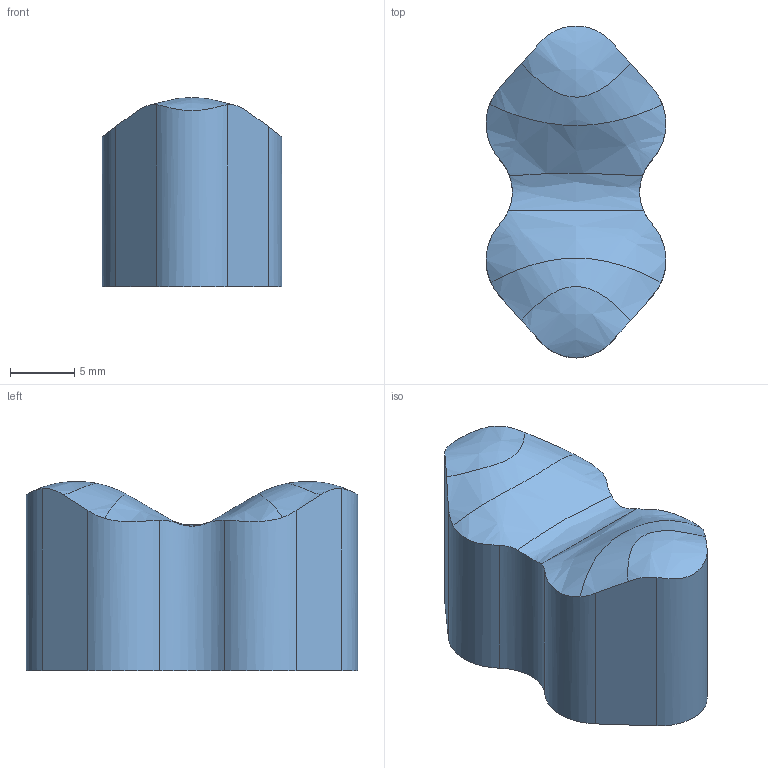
import cadquery as cq
import math

half_length = 12.93
half_width = 7.015
waist_half_width = 4.965
tip_radius = 3.7
side_radius = 4.2
side_centre_y = 5.32

crest_height = 14.75
crest_y = 9.0
crest_radius = 8.0
valley_radius = 3.0
flank_angle = math.radians(30)

max_curvature = 0.064
curvature_start_y = 1.35

dome_seam_middle_y = 7.38
dome_seam_bow = 0.143
flank_seam_middle_y = 5.17
flank_seam_bow_plus = 0.037
flank_seam_bow_minus = 0.044
valley_seam_middle_y = 1.46
valley_seam_bow_plus = -0.0075
valley_seam_bow_minus = 0.0

patch_half_x = 8.0
patch_half_y = 14.0
patch_steps_x = 16
patch_steps_y = 80
surface_tolerance = 0.004
seam_steps = 4
below_base = 2.0

side_centre_x = half_width - side_radius
tip_centre_y = half_length - tip_radius
waist_offset = waist_half_width - side_centre_x
waist_radius = (waist_offset**2 + side_centre_y**2 - side_radius**2) / (2 * (side_radius - waist_offset))
waist_centre_x = waist_half_width + waist_radius

crest_centre_z = crest_height - crest_radius
flank_top_y = crest_y - crest_radius * math.sin(flank_angle)
flank_top_z = crest_centre_z + crest_radius * math.cos(flank_angle)
flank_foot_y = valley_radius * math.sin(flank_angle)
flank_foot_z = flank_top_z - (flank_top_y - flank_foot_y) * math.tan(flank_angle)
valley_centre_z = flank_foot_z + valley_radius * math.cos(flank_angle)


def middle_height(y):
    """Height of the top on the middle plane, at distance y from the valley."""
    if y > flank_top_y:
        return crest_centre_z + math.sqrt(crest_radius**2 - (y - crest_y) ** 2)
    if y > flank_foot_y:
        return flank_foot_z + (y - flank_foot_y) * math.tan(flank_angle)
    return valley_centre_z - math.sqrt(valley_radius**2 - y**2)


def sideways_curvature(y):
    """Zero in the valley, full at the crest and zero again at the tip."""
    if y <= curvature_start_y or y >= half_length:
        return 0.0
    if y < crest_y:
        rise = (y - curvature_start_y) / (crest_y - curvature_start_y)
        return max_curvature * (1.5 * rise - 0.5 * rise**3)
    fall = (y - crest_y) / (half_length - crest_y)
    return max_curvature * math.cos(fall * math.pi / 2) ** 2


def top_point(x, y):
    z = middle_height(abs(y)) - sideways_curvature(abs(y)) * x**2
    return cq.Vector(x, y, z)


def evenly_spaced(half_range, steps):
    return [half_range * (2 * i / steps - 1) for i in range(steps + 1)]


def outline_prism():
    """Straight-walled body whose arcs and flats are all tangent to each other."""
    centre_gap = math.hypot(side_centre_x, side_centre_y - tip_centre_y)
    gap_angle = math.atan2(side_centre_y - tip_centre_y, side_centre_x)
    normal_angle = gap_angle + math.acos((tip_radius - side_radius) / centre_gap)
    normal_x = math.cos(normal_angle)
    normal_y = math.sin(normal_angle)

    tip_end = (tip_radius * normal_x, tip_centre_y + tip_radius * normal_y)
    side_start = (side_centre_x + side_radius * normal_x, side_centre_y + side_radius * normal_y)
    joint_share = side_radius / (side_radius + waist_radius)
    side_end = (
        side_centre_x + (waist_centre_x - side_centre_x) * joint_share,
        side_centre_y * (1 - joint_share),
    )
    side_middle = (half_width, side_centre_y)

    def mirrored_x(point):
        return (-point[0], point[1])

    def mirrored_y(point):
        return (point[0], -point[1])

    def turned(point):
        return (-point[0], -point[1])

    outline = (
        cq.Workplane("XY")
        .moveTo(*mirrored_x(tip_end))
        .threePointArc((0, half_length), tip_end)
        .lineTo(*side_start)
        .threePointArc(side_middle, side_end)
        .threePointArc((waist_half_width, 0), mirrored_y(side_end))
        .threePointArc(mirrored_y(side_middle), mirrored_y(side_start))
        .lineTo(*mirrored_y(tip_end))
        .threePointArc((0, -half_length), turned(tip_end))
        .lineTo(*turned(side_start))
        .threePointArc(turned(side_middle), turned(side_end))
        .threePointArc((-waist_half_width, 0), mirrored_x(side_end))
        .threePointArc(mirrored_x(side_middle), mirrored_x(side_start))
        .close()
    )
    return outline.extrude(crest_height + below_base).val()


def seam_wall(middle_y, bow, side):
    """Upright sheet along one seam; side is 1 for the +Y half and -1 for the -Y half."""
    xs = evenly_spaced(patch_half_x + 1, seam_steps)
    low = cq.Edge.makeSpline([cq.Vector(x, side * (middle_y + bow * x**2), 0) for x in xs])
    high = low.translate(cq.Vector(0, 0, crest_height + below_base))
    return cq.Face.makeRuledSurface(low, high)


def space_under_top():
    """Solid below the undulating top, with the top parted into faces at the seams."""
    xs = evenly_spaced(patch_half_x, patch_steps_x)
    ys = evenly_spaced(patch_half_y, patch_steps_y)
    grid = [[top_point(x, y) for y in ys] for x in xs]
    top_face = cq.Face.makeSplineApprox(grid, tol=surface_tolerance)

    walls = [
        seam_wall(valley_seam_middle_y, valley_seam_bow_plus, 1),
        seam_wall(valley_seam_middle_y, valley_seam_bow_minus, -1),
        seam_wall(flank_seam_middle_y, flank_seam_bow_plus, 1),
        seam_wall(flank_seam_middle_y, flank_seam_bow_minus, -1),
        seam_wall(dome_seam_middle_y, dome_seam_bow, 1),
        seam_wall(dome_seam_middle_y, dome_seam_bow, -1),
    ]
    downward = cq.Vector(0, 0, -(crest_height + below_base))
    columns = [cq.Solid.extrudeLinear(face, downward) for face in top_face.split(*walls).Faces()]
    return columns[0].fuse(*columns[1:])


body = outline_prism().intersect(space_under_top())
result = cq.Workplane("XY").newObject(body.Solids())